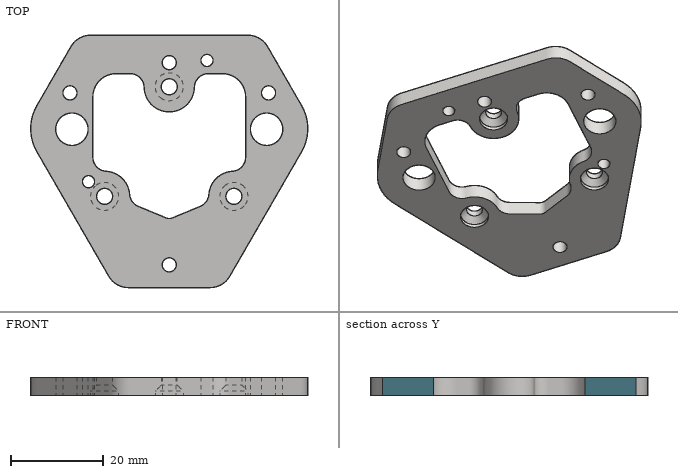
import cadquery as cq
import math

WIDTH = 60.2
DEPTH = 54.8
THICKNESS = 4.0
FLANK_ANGLE = math.radians(60)
SIDE_CORNER_Y = 7.1
SIDE_CORNER_RADIUS = 10.0
END_CORNER_RADIUS = 5.0

WINDOW_WIDTH = 33.1
WINDOW_TOP_Y = 19.0
WINDOW_TIP_Y = -12.5
WINDOW_FLOOR_ANGLE = math.radians(22.5)
WINDOW_CORNER_RADIUS = 5.0
WINDOW_TIP_RADIUS = 1.8
LOBE_RADIUS = 5.5
LOBE_BLEND_RADIUS = 3.0
LOWER_LOBE_X = 14.0
LOWER_LOBE_Y = -7.6
UPPER_LOBE_Y = 16.2
LOBE_CENTERS = [
    (-LOWER_LOBE_X, LOWER_LOBE_Y),
    (LOWER_LOBE_X, LOWER_LOBE_Y),
    (0, UPPER_LOBE_Y),
]

LOBE_HOLE_DIAMETER = 3.4
COUNTERSINK_DIAMETER = 6.1
COUNTERSINK_STRAIGHT_DEPTH = 0.95
COUNTERSINK_HALF_ANGLE = math.radians(45)
LARGE_HOLE_DIAMETER = 7.0
LARGE_HOLE_CENTERS = [(-21.1, 7.0), (21.1, 7.0)]
MOUNTING_HOLE_DIAMETER = 3.0
MOUNTING_HOLE_CENTERS = [(-21.55, 14.85), (21.55, 14.85), (0, 21.4), (0, -22.45)]
PIN_HOLE_DIAMETER = 2.6
PIN_HOLE_CENTERS = [(8.2, 21.9), (-17.5, -4.4)]


def make_plate():
    """Sharp hexagonal plate with its vertical corners rounded."""
    half_depth = DEPTH / 2
    corner_overshoot = SIDE_CORNER_RADIUS * (1 / math.sin(FLANK_ANGLE) - 1)
    side_x = WIDTH / 2 + corner_overshoot
    top_x = side_x - (half_depth - SIDE_CORNER_Y) / math.tan(FLANK_ANGLE)
    bottom_x = side_x - (half_depth + SIDE_CORNER_Y) / math.tan(FLANK_ANGLE)
    outline = [
        (-top_x, half_depth),
        (top_x, half_depth),
        (side_x, SIDE_CORNER_Y),
        (bottom_x, -half_depth),
        (-bottom_x, -half_depth),
        (-side_x, SIDE_CORNER_Y),
    ]
    plate = cq.Workplane("XY").polyline(outline).close().extrude(THICKNESS)
    plate = plate.edges("|Z and (<X or >X)").fillet(SIDE_CORNER_RADIUS)
    for end in ("<Y", ">Y"):
        plate = plate.faces(end).edges("|Z").fillet(END_CORNER_RADIUS)
    return plate


def make_window():
    """Solid filling the central opening: V-floored box, less the lobes, all corners blended."""
    half_width = WINDOW_WIDTH / 2
    floor_side_y = WINDOW_TIP_Y + half_width * math.tan(WINDOW_FLOOR_ANGLE)
    outline = [
        (-half_width, WINDOW_TOP_Y),
        (half_width, WINDOW_TOP_Y),
        (half_width, floor_side_y),
        (0, WINDOW_TIP_Y),
        (-half_width, floor_side_y),
    ]
    window = cq.Workplane("XY").polyline(outline).close().extrude(THICKNESS)
    top_corners = cq.selectors.BoxSelector(
        (-WIDTH, WINDOW_TOP_Y - 0.6, 0), (WIDTH, WINDOW_TOP_Y + 0.6, THICKNESS)
    )
    window = window.edges("|Z").edges(top_corners).fillet(WINDOW_CORNER_RADIUS)
    window = window.edges("|Z and <Y").fillet(WINDOW_TIP_RADIUS)

    lobes = cq.Workplane("XY").pushPoints(LOBE_CENTERS).circle(LOBE_RADIUS).extrude(THICKNESS)
    window = window.cut(lobes).clean()
    for x, y in LOBE_CENTERS:
        reach = LOBE_RADIUS + 0.05
        around_lobe = cq.selectors.BoxSelector(
            (x - reach, y - reach, 0), (x + reach, y + reach, THICKNESS)
        )
        window = window.edges("|Z").edges(around_lobe).fillet(LOBE_BLEND_RADIUS)
    return window


def make_holes(centers, diameter):
    """Cylinders through the full plate thickness."""
    return cq.Workplane("XY").pushPoints(centers).circle(diameter / 2).extrude(THICKNESS)


def make_countersink():
    """Screw head recess on the Z axis: straight at the bottom face, then narrowing to the hole."""
    head_radius = COUNTERSINK_DIAMETER / 2
    hole_radius = LOBE_HOLE_DIAMETER / 2
    cone_top = COUNTERSINK_STRAIGHT_DEPTH + (head_radius - hole_radius) / math.tan(COUNTERSINK_HALF_ANGLE)
    profile = [
        (0, 0),
        (head_radius, 0),
        (head_radius, COUNTERSINK_STRAIGHT_DEPTH),
        (hole_radius, cone_top),
        (0, cone_top),
    ]
    return cq.Workplane("XZ").polyline(profile).close().revolve(360, (0, 0), (0, 1))


result = make_plate().cut(make_window())
for hole_centers, hole_diameter in (
    (LOBE_CENTERS, LOBE_HOLE_DIAMETER),
    (LARGE_HOLE_CENTERS, LARGE_HOLE_DIAMETER),
    (MOUNTING_HOLE_CENTERS, MOUNTING_HOLE_DIAMETER),
    (PIN_HOLE_CENTERS, PIN_HOLE_DIAMETER),
):
    result = result.cut(make_holes(hole_centers, hole_diameter))

for lobe_x, lobe_y in LOBE_CENTERS:
    result = result.cut(make_countersink().translate((lobe_x, lobe_y, 0)))